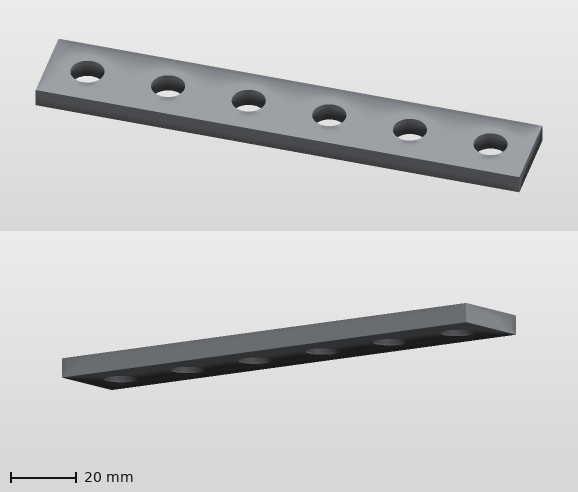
import cadquery as cq

length = 152.4
hole_count = 6
pitch = length / hole_count
width = 25.5
thickness = 6.0
hole_diameter = 10.4

bar = cq.Workplane("XY").box(length, width, thickness)

result = (
    bar.faces(">Z")
    .workplane()
    .rarray(pitch, width, hole_count, 1)
    .hole(hole_diameter)
)